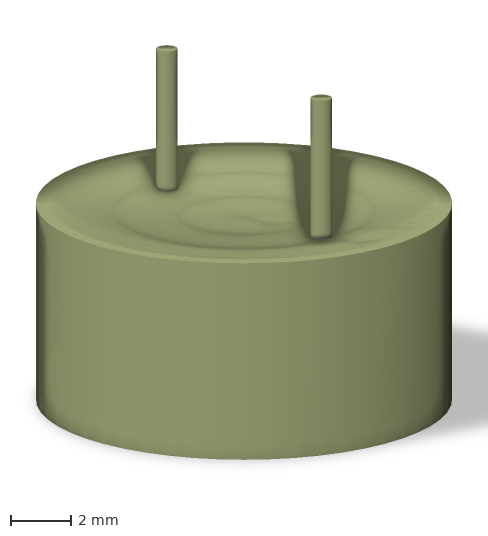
import cadquery as cq

body_diameter = 13.8
body_height = 6.8
dish_diameter = 12.9
dish_depth = 0.5

pin_diameter = 0.7
pin_spacing = 7.6
overall_height = 11.3

dish_radius = dish_diameter / 2
dish_floor = body_height - dish_depth
sphere_radius = (dish_radius**2 + dish_depth**2) / (2 * dish_depth)


def make_body():
    cylinder = cq.Workplane("XY").circle(body_diameter / 2).extrude(body_height)
    dish_sphere = cq.Workplane("XY", origin=(0, 0, dish_floor + sphere_radius)).sphere(sphere_radius)
    return cylinder.cut(dish_sphere)


def make_pins():
    pin_start = dish_floor - pin_diameter
    return (
        cq.Workplane("XY", origin=(0, 0, pin_start))
        .pushPoints([(-pin_spacing / 2, 0), (pin_spacing / 2, 0)])
        .circle(pin_diameter / 2)
        .extrude(overall_height - pin_start)
    )


result = make_body().union(make_pins())